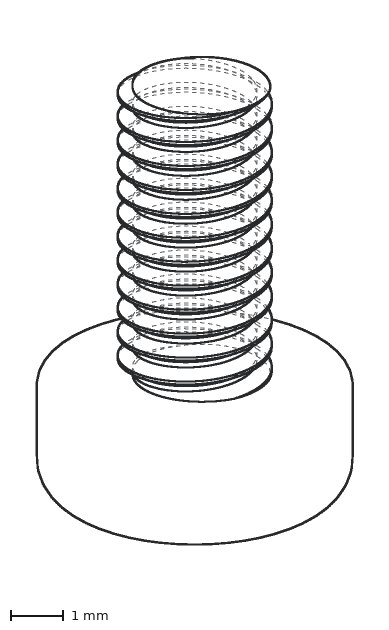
import cadquery as cq
import math

head_diameter = 6.0
head_height = 2.5
seat_rim_radius = 0.3
end_rim_radius = 0.7

shank_length = 6.0
major_diameter = 2.93
minor_diameter = 2.36
pitch = 0.5
crest_width = pitch / 8
flank_half_angle = 30.0
crest_drop = 0.015

ridge_overlap = 0.05
overrun_turns = 1


def make_head():
    head = cq.Workplane("XY").circle(head_diameter / 2).extrude(-head_height)
    head = head.faces(">Z").edges().fillet(seat_rim_radius)
    return head.faces("<Z").edges().fillet(end_rim_radius)


def make_thread_ridge():
    """Right-hand helical ridge whose crest crosses the +X side at Z = -crest_drop."""
    overrun = overrun_turns * pitch
    crest_radius = major_diameter / 2
    base_radius = minor_diameter / 2 - ridge_overlap
    crest_half = crest_width / 2
    flank_rise = (crest_radius - base_radius) * math.tan(math.radians(flank_half_angle))
    base_half = crest_half + flank_rise

    helix = cq.Wire.makeHelix(pitch, shank_length + 2 * overrun, minor_diameter / 2)
    section = cq.Workplane("XZ").polyline([
        (base_radius, -base_half),
        (crest_radius, -crest_half),
        (crest_radius, crest_half),
        (base_radius, base_half),
    ]).close()
    ridge = section.sweep(cq.Workplane(obj=helix), isFrenet=True)
    return ridge.translate((0, 0, -overrun - crest_drop))


def make_shank():
    core = cq.Workplane("XY").circle(minor_diameter / 2).extrude(shank_length)
    envelope = cq.Workplane("XY").circle(major_diameter).extrude(shank_length)
    ridge = make_thread_ridge().intersect(envelope)
    return core.union(ridge)


result = make_head().union(make_shank())